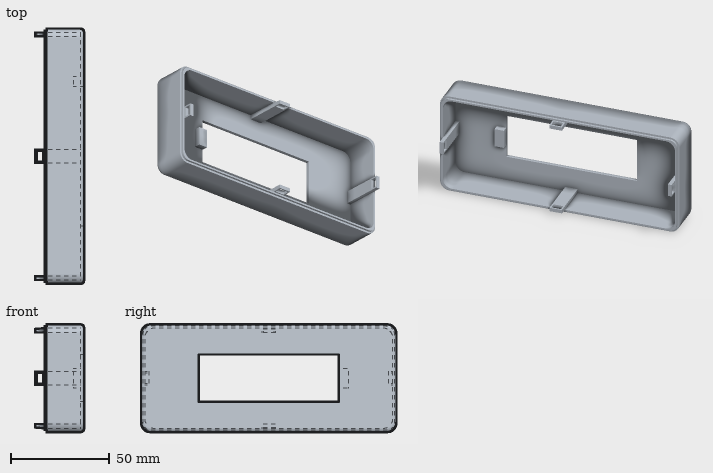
import cadquery as cq

length = 130.0
height = 55.0
depth = 25.0

tab_reach = 4.7
wall = 2.0
corner_radius = 5.0
face_fillet = 2.1
lip_height = 1.2
lip_inset = 1.0

window_length = 71.0
window_height = 23.9
block_length = 5.1
block_height = 10.0
block_depth = 3.5

tab_width = 6.8
tab_thickness = 2.1
long_wall_tab_thickness = 2.3
tip_relief = 0.4
slot_width = 5.2
slot_start = 0.8
slot_length = 3.2

rim_x = tab_reach
shoulder_x = rim_x + lip_height
floor_x = depth - wall


def rounded_slab(x_start, x_end, inset, radius):
    """Rounded rectangle, inset from the outer outline, extruded along X."""
    return (
        cq.Workplane("YZ", origin=(x_start, 0, 0))
        .rect(length - 2 * inset, height - 2 * inset)
        .extrude(x_end - x_start)
        .edges("|X")
        .fillet(radius)
    )


def box_between(x_start, x_end, y_size, z_size, y_center=0):
    """Box spanning two X positions, centred on Z = 0."""
    return (
        cq.Workplane("YZ", origin=(x_start, 0, 0))
        .center(y_center, 0)
        .rect(y_size, z_size)
        .extrude(x_end - x_start)
    )


def make_shell():
    """Open box with a filleted face and a stepped lip around the rim."""
    body = rounded_slab(shoulder_x, depth, 0, corner_radius).faces(">X").edges().fillet(face_fillet)
    lip = rounded_slab(rim_x, shoulder_x, lip_inset, corner_radius - lip_inset)
    cavity = rounded_slab(rim_x, floor_x, wall, corner_radius)
    return body.union(lip).cut(cavity)


def make_tab(wall_distance, thickness, relief):
    """Slotted tab on the +Z side; its outer face leans in by the relief from rim to tip."""
    outer_z = wall_distance - wall
    inner_z = outer_z - thickness
    profile = [
        (0, inner_z),
        (floor_x, inner_z),
        (floor_x, outer_z),
        (rim_x, outer_z),
        (0, outer_z - relief),
    ]
    tab = cq.Workplane("XZ").polyline(profile).close().extrude(tab_width / 2, both=True)
    slot = (
        cq.Workplane("XY", origin=(slot_start + slot_length / 2, 0, inner_z))
        .rect(slot_length, slot_width)
        .extrude(thickness)
    )
    return tab.cut(slot)


result = make_shell()

block_center = (window_length + block_length) / 2
block = box_between(floor_x - block_depth, floor_x, block_length, block_height, block_center)
result = result.union(block).cut(box_between(floor_x, depth, window_length, window_height))

long_wall_tab = make_tab(height / 2, long_wall_tab_thickness, tip_relief)
end_wall_tab = make_tab(length / 2, tab_thickness, 0)
for tab, first_angle in ((long_wall_tab, 0), (end_wall_tab, 90)):
    for angle in (first_angle, first_angle + 180):
        result = result.union(tab.rotate((0, 0, 0), (1, 0, 0), angle))